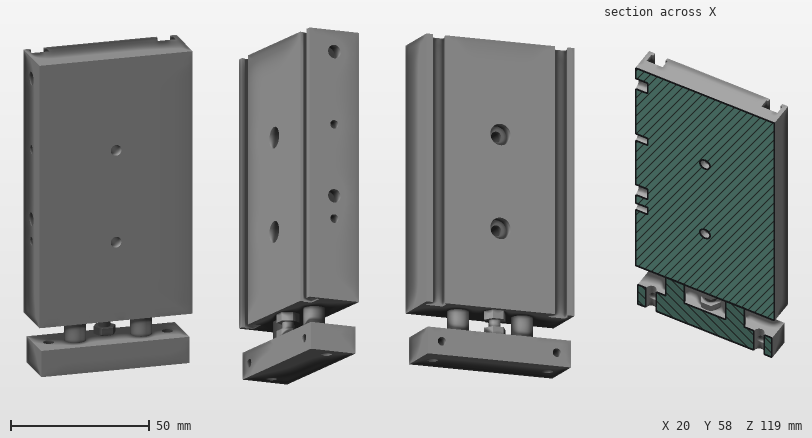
import cadquery as cq
import math

total_height = 119.0
plate_height = 10.0
rod_length = 9.0
housing_bottom = plate_height + rod_length
housing_height = total_height - housing_bottom

housing_depth = 20.0
housing_width = 58.0

slot_offset = 23.9
slot_mouth_width = 5.1
slot_cavity_width = 6.7
slot_depth = 4.9
slot_lip = 1.3

mount_hole_levels = [49.0, 84.0]
mount_hole_diameter = 4.0
counterbore_diameter = 8.0
counterbore_depth = 4.2

port_levels = [57.5, 111.0]
port_diameter = 5.0
port_depth = 5.0
locating_hole_diameter = 3.2
locating_hole_depth = 5.0

plate_depth = 18.0
plate_width = 56.0
plate_hole_offset = 22.5
plate_bolt_diameter = 4.0
plate_side_hole_diameter = 3.2
rod_offset = 12.5
rod_diameter = 8.0

screw_x = -4.4
stem_diameter = 4.3
hex_across_corners = 8.3
hex_across_flats = hex_across_corners * math.cos(math.radians(30))
upper_hex_height = 3.2
lower_hex_height = 2.9
hex_chamfer_angle = 30


def make_t_slot(y):
    """Full-height T-slot cutter opening on the -X face."""
    face_x = -housing_depth / 2
    mouth = cq.Workplane("XY").box(
        slot_depth, slot_mouth_width, housing_height, centered=(False, True, False)
    )
    cavity = (
        cq.Workplane("XY")
        .box(slot_depth - slot_lip, slot_cavity_width, housing_height, centered=(False, True, False))
        .translate((slot_lip, 0, 0))
    )
    return mouth.union(cavity).translate((face_x, y, housing_bottom))


def make_mount_hole(level):
    """Through hole along X, counterbored from the -X face."""
    start = cq.Workplane("YZ", origin=(-housing_depth / 2, 0, level))
    hole = start.circle(mount_hole_diameter / 2).extrude(housing_depth)
    counterbore = start.circle(counterbore_diameter / 2).extrude(counterbore_depth)
    return hole.union(counterbore)


def make_side_hole(level, diameter, depth):
    """Blind hole entering the -Y side."""
    start = cq.Workplane("XZ", origin=(0, -housing_width / 2, level))
    return start.circle(diameter / 2).extrude(-depth)


def make_housing():
    body = (
        cq.Workplane("XY")
        .box(housing_depth, housing_width, housing_height, centered=(True, True, False))
        .translate((0, 0, housing_bottom))
    )
    for side in (-1, 1):
        body = body.cut(make_t_slot(side * slot_offset))
    for level in mount_hole_levels:
        body = body.cut(make_mount_hole(level))
        body = body.cut(make_side_hole(level, locating_hole_diameter, locating_hole_depth))
    for level in port_levels:
        body = body.cut(make_side_hole(level, port_diameter, port_depth))
    return body


def make_rod_plate():
    """End plate carrying both guide rods, which reach up to the housing."""
    body = cq.Workplane("XY").box(plate_depth, plate_width, plate_height, centered=(True, True, False))
    for side in (-1, 1):
        hole_y = side * plate_hole_offset
        bolt_hole = (
            cq.Workplane("XY", origin=(0, hole_y, 0)).circle(plate_bolt_diameter / 2).extrude(plate_height)
        )
        side_hole = (
            cq.Workplane("YZ", origin=(-plate_depth / 2, hole_y, plate_height / 2))
            .circle(plate_side_hole_diameter / 2)
            .extrude(plate_depth / 2)
        )
        rod = (
            cq.Workplane("XY", origin=(0, side * rod_offset, plate_height))
            .circle(rod_diameter / 2)
            .extrude(rod_length)
        )
        body = body.cut(bolt_hole).cut(side_hole).union(rod)
    return body


def make_hexagon(bottom, height):
    """Hexagon with flats facing -X and +X."""
    return (
        cq.Workplane("XY", origin=(screw_x, 0, bottom))
        .transformed(rotate=(0, 0, 90))
        .polygon(6, hex_across_corners)
        .extrude(height)
    )


def make_chamfer_cone():
    """Flaring envelope that bevels the bottom corners of the lower hexagon."""
    bottom_radius = hex_across_flats / 2
    flare = lower_hex_height / math.tan(math.radians(hex_chamfer_angle))
    return (
        cq.Workplane("XZ", origin=(screw_x, 0, plate_height))
        .polyline(
            [(0, 0), (bottom_radius, 0), (bottom_radius + flare, lower_hex_height), (0, lower_hex_height)]
        )
        .close()
        .revolve(360, (0, 0, 0), (0, 1, 0))
    )


def make_stop_screw():
    """Stem and two hexagons filling the gap between plate and housing."""
    stem = (
        cq.Workplane("XY", origin=(screw_x, 0, plate_height)).circle(stem_diameter / 2).extrude(rod_length)
    )
    lower_hexagon = make_hexagon(plate_height, lower_hex_height).intersect(make_chamfer_cone())
    upper_hexagon = make_hexagon(housing_bottom - upper_hex_height, upper_hex_height)
    return stem.union(lower_hexagon).union(upper_hexagon)


housing = make_housing()
rod_plate = make_rod_plate()
stop_screw = make_stop_screw()

result = cq.Compound.makeCompound([housing.val(), rod_plate.val(), stop_screw.val()])